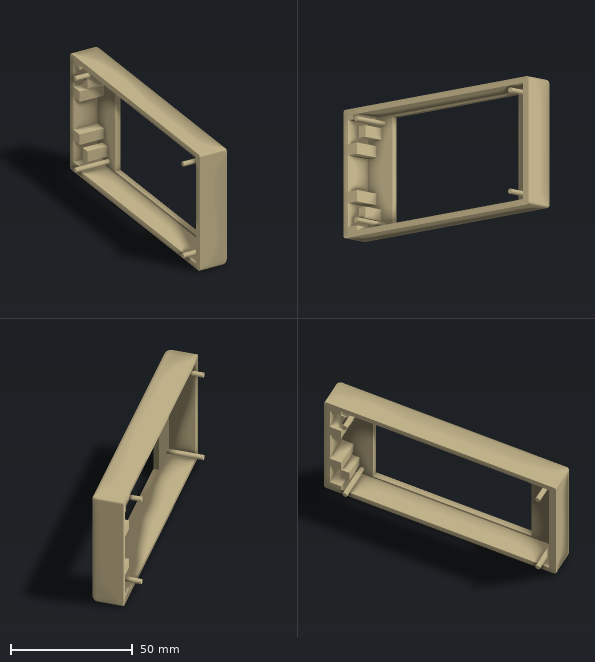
import cadquery as cq

length = 106.6
height = 53.8
total_depth = 18.5
pin_protrusion = 4.5
body_depth = total_depth - pin_protrusion
back_round = 3.0
corner_round = 1.1

wall = 2.6
left_wall = 2.7
right_wall = 3.2
floor_thickness = 2.6
left_band = 7.8
window_left = 16.8
window_right = 89.7
window_margin = 3.5

middle_recess_height = 15.1
side_recess_height = 10.0
side_recess_offset = 17.4

post_left = 6.8
post_width = 3.7
post_height = 4.9
post_offset = 17.1
post_setback = 2.0

pin_diameter = 2.1
pin_left = 11.7
pin_right = 100.3
pin_offset = 21.2

floor_y = body_depth - floor_thickness


def block(left, right, front, back, center_z, size_z):
    """Box given by its X and Y limits and its height about center_z."""
    size_x = right - left
    size_y = back - front
    return (
        cq.Workplane("XY")
        .box(size_x, size_y, size_z)
        .translate(((left + right) / 2, (front + back) / 2, center_z))
    )


def rounded_body():
    solid = block(0, length, 0, body_depth, 0, height)
    solid = solid.faces(">Y").edges().fillet(back_round)
    return solid.edges("|Y").fillet(corner_round)


def recess(center_z, size_z):
    return block(left_wall, left_band, 0, floor_y, center_z, size_z)


def post(center_z):
    return block(post_left, post_left + post_width, post_setback, body_depth - floor_thickness / 2,
                 center_z, post_height)


def pin(x, z):
    pin_length = pin_protrusion + floor_y + floor_thickness / 2
    return (
        cq.Workplane("XZ", origin=(x, -pin_protrusion, z))
        .circle(pin_diameter / 2)
        .extrude(-pin_length)
    )


result = rounded_body()

result = result.cut(block(left_band, length - right_wall, 0, floor_y, 0, height - 2 * wall))
result = result.cut(block(window_left, window_right, 0, body_depth, 0, height - 2 * window_margin))
result = result.cut(recess(0, middle_recess_height))

for side in (-1, 1):
    result = result.cut(recess(side * side_recess_offset, side_recess_height))
    result = result.union(post(side * post_offset))
    for pin_x in (pin_left, pin_right):
        result = result.union(pin(pin_x, side * pin_offset))